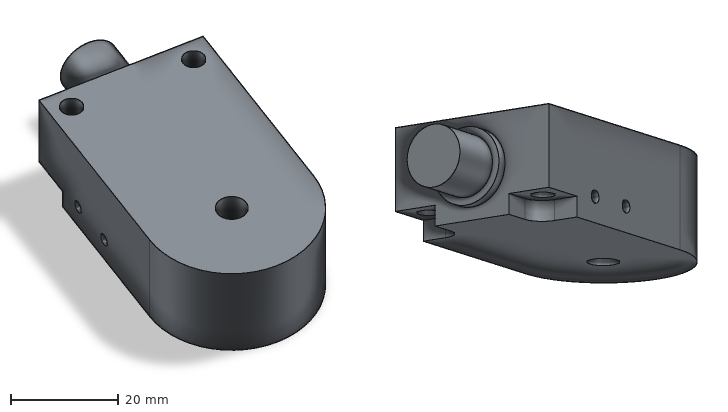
import cadquery as cq
import math

total_length = 72.5
width = 35.0
height = 20.0
end_radius = width / 2

plug_diameter = 12.0
collar_diameter = 15.0
collar_length = 1.95
plug_length = 10.5
connector_length = collar_length + plug_length
axis_height = height / 2

housing_length = total_length - connector_length
straight_length = housing_length - end_radius
sensing_hole_diameter = 6.1

mounting_hole_diameter = 4.5
mounting_hole_inset = 4.5
recess_size = 9.05
recess_height = 4.0
recess_corner_radius = 4.0

side_hole_diameter = 2.5
side_hole_depth = 3.6
side_hole_height = 5.0
first_side_hole_x = 15.0
side_hole_spacing = 10.0
drill_point_angle = 118.0


def make_corner_recess(side):
    """Pocket at the flat end's lower corner on the given side (+1 or -1), with a rounded inner corner."""
    middle_y = side * (width - recess_size) / 2
    recess = (
        cq.Workplane("XY")
        .center(recess_size / 2, middle_y)
        .rect(recess_size, recess_size)
        .extrude(recess_height)
    )
    inner_edge = cq.selectors.NearestToPointSelector(
        (recess_size, side * (width / 2 - recess_size), recess_height / 2)
    )
    return recess.edges("|Z").edges(inner_edge).fillet(recess_corner_radius)


def make_through_hole(hole_x, hole_y, diameter):
    """Vertical hole through the full height of the housing."""
    return cq.Workplane("XY").center(hole_x, hole_y).circle(diameter / 2).extrude(height)


def make_side_hole(hole_x):
    """Drilled hole with a conical bottom, running in +Y from the -Y side."""
    radius = side_hole_diameter / 2
    point_length = radius / math.tan(math.radians(drill_point_angle / 2))
    drill = (
        cq.Workplane("XY")
        .polyline([(0, 0), (radius, 0), (radius, side_hole_depth), (0, side_hole_depth + point_length)])
        .close()
        .revolve(360, (0, 0), (0, 1))
    )
    return drill.translate((hole_x, -width / 2, side_hole_height))


def make_housing():
    """Block with a half-round +X end, carrying the holes and corner recesses."""
    housing = (
        cq.Workplane("XY")
        .moveTo(0, -width / 2)
        .lineTo(straight_length, -width / 2)
        .threePointArc((housing_length, 0), (straight_length, width / 2))
        .lineTo(0, width / 2)
        .close()
        .extrude(height)
    )
    housing = housing.cut(make_through_hole(straight_length, 0, sensing_hole_diameter))
    for side in (-1, 1):
        hole_y = side * (width / 2 - mounting_hole_inset)
        housing = housing.cut(make_through_hole(mounting_hole_inset, hole_y, mounting_hole_diameter))
        housing = housing.cut(make_corner_recess(side))
    for hole_x in (first_side_hole_x, first_side_hole_x + side_hole_spacing):
        housing = housing.cut(make_side_hole(hole_x))
    return housing


def make_connector():
    """Round plug with a collar that seats against the housing's flat end."""
    end_plane = cq.Workplane("YZ").center(0, axis_height)
    collar = end_plane.circle(collar_diameter / 2).extrude(-collar_length)
    plug = end_plane.circle(plug_diameter / 2).extrude(-connector_length)
    return collar.union(plug)


housing = make_housing()
connector = make_connector()
result = cq.Compound.makeCompound([housing.val(), connector.val()])